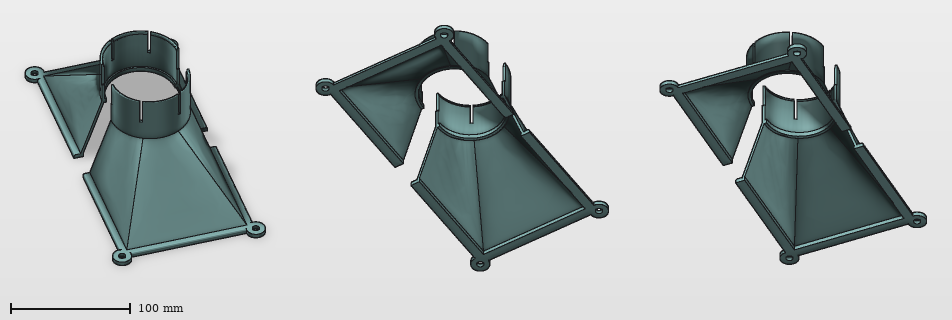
import cadquery as cq
import math


TOTAL_LENGTH = 259.0
TOTAL_WIDTH = 133.0
TOTAL_HEIGHT = 97.0
GAP = 24.9
HALF_GAP = GAP / 2

FLANGE_HEIGHT = 4.0
FLANGE_FILLET = 2.0
FLANGE_LEDGE = 6.0
LUG_RADIUS = 8.0
LUG_HOLE_DIAMETER = 6.0
FLANGE_HALF_LENGTH = TOTAL_LENGTH / 2 - HALF_GAP - LUG_RADIUS
FLANGE_HALF_WIDTH = TOTAL_WIDTH / 2 - LUG_RADIUS

FOOT_HALF_LENGTH = FLANGE_HALF_LENGTH - FLANGE_LEDGE
FOOT_HALF_WIDTH = FLANGE_HALF_WIDTH - FLANGE_LEDGE
WALL = 2.45

COLLAR_HEIGHT = 40.0
COLLAR_DIAMETER = 68.0
COLLAR_RADIUS = COLLAR_DIAMETER / 2
COLLAR_BASE = TOTAL_HEIGHT - COLLAR_HEIGHT
BORE_RADIUS = COLLAR_RADIUS - WALL

STOP_RADIUS = 30.0
STOP_HEIGHT = 4.1
STOP_BASE = COLLAR_BASE - STOP_HEIGHT / 2

REBATE_RADIUS = 32.0
REBATE_DEPTH = 2.5
RIM_RADIUS = (COLLAR_RADIUS - REBATE_RADIUS) / 2
SHOULDER_FILLET = 0.4

SLOT_WIDTH = 2.3
SLOT_DEPTH = 22.0
SLOT_COUNT = 6
SLOT_START_ANGLE = 30


def rectangle_to_round(half_length, half_width, radius, base, top):
    """Solid between a rectangle and a circle, with seams running out to the corners."""
    corner = math.atan2(half_width, half_length)
    x, y = radius * math.cos(corner), radius * math.sin(corner)
    return (
        cq.Workplane("XY")
        .workplane(offset=base)
        .moveTo(half_length, -half_width)
        .lineTo(half_length, half_width)
        .lineTo(-half_length, half_width)
        .lineTo(-half_length, -half_width)
        .close()
        .workplane(offset=top - base)
        .moveTo(x, -y)
        .threePointArc((radius, 0), (x, y))
        .threePointArc((0, radius), (-x, y))
        .threePointArc((-radius, 0), (-x, -y))
        .threePointArc((0, -radius), (x, -y))
        .close()
        .loft(ruled=True)
    )


def tube(outer_radius, inner_radius, base, height):
    """Upright ring of rectangular section."""
    return (
        cq.Workplane("XY")
        .workplane(offset=base)
        .circle(outer_radius)
        .circle(inner_radius)
        .extrude(height)
    )


def make_flange():
    """Flange plate with rounded upper edges and a drilled lug at each corner."""
    plate = (
        cq.Workplane("XY")
        .rect(2 * FLANGE_HALF_LENGTH, 2 * FLANGE_HALF_WIDTH)
        .extrude(FLANGE_HEIGHT)
        .faces(">Z")
        .edges()
        .fillet(FLANGE_FILLET)
    )
    corners = (
        cq.Workplane("XY")
        .rect(2 * FLANGE_HALF_LENGTH, 2 * FLANGE_HALF_WIDTH, forConstruction=True)
        .vertices()
    )
    lugs = corners.circle(LUG_RADIUS).extrude(FLANGE_HEIGHT)
    holes = corners.circle(LUG_HOLE_DIAMETER / 2).extrude(FLANGE_HEIGHT)
    return plate.union(lugs).cut(holes)


def make_funnel_cavity():
    """Straight opening through the flange, then a taper up to the collar bore."""
    inner_half_length = FOOT_HALF_LENGTH - WALL
    inner_half_width = FOOT_HALF_WIDTH - WALL
    opening = cq.Workplane("XY").rect(2 * inner_half_length, 2 * inner_half_width).extrude(FLANGE_HEIGHT)
    taper = rectangle_to_round(
        inner_half_length, inner_half_width, BORE_RADIUS, FLANGE_HEIGHT, COLLAR_BASE
    )
    return opening.union(taper)


def make_collar():
    """Tube with a rebated mouth, a rounded rim and flex slots."""
    shoulder = TOTAL_HEIGHT - REBATE_DEPTH
    rim_start = TOTAL_HEIGHT - RIM_RADIUS
    sleeve = tube(COLLAR_RADIUS, BORE_RADIUS, COLLAR_BASE, COLLAR_HEIGHT - REBATE_DEPTH)
    sleeve = sleeve.faces(">Z").edges(cq.selectors.RadiusNthSelector(0)).fillet(SHOULDER_FILLET)
    mouth = (
        cq.Workplane("XZ")
        .moveTo(REBATE_RADIUS, shoulder)
        .lineTo(COLLAR_RADIUS, shoulder)
        .lineTo(COLLAR_RADIUS, rim_start)
        .threePointArc((COLLAR_RADIUS - RIM_RADIUS, TOTAL_HEIGHT), (REBATE_RADIUS, rim_start))
        .close()
        .revolve(360, (0, 0, 0), (0, 1, 0))
    )
    collar = sleeve.union(mouth)
    for index in range(SLOT_COUNT):
        slot = (
            cq.Workplane("XY")
            .box(COLLAR_RADIUS + WALL, SLOT_WIDTH, SLOT_DEPTH, centered=(False, True, False))
            .translate((0, 0, TOTAL_HEIGHT - SLOT_DEPTH))
            .rotate((0, 0, 0), (0, 0, 1), SLOT_START_ANGLE + index * 360 / SLOT_COUNT)
        )
        collar = collar.cut(slot)
    return collar


def make_stop_ring():
    """Inner ledge at the collar base, its outer edge buried in the collar wall."""
    return tube(BORE_RADIUS + WALL / 2, STOP_RADIUS, STOP_BASE, STOP_HEIGHT)


def make_whole_hood():
    """The complete hood before it is split."""
    funnel = rectangle_to_round(
        FOOT_HALF_LENGTH, FOOT_HALF_WIDTH, COLLAR_RADIUS, FLANGE_HEIGHT, COLLAR_BASE
    )
    shell = make_flange().union(funnel).cut(make_funnel_cavity())
    return shell.union(make_collar()).union(make_stop_ring())


def make_hood_half(hood, side):
    """The half of the hood on one side of the middle plane, moved out by the gap."""
    keep = (
        cq.Workplane("XY")
        .box(TOTAL_LENGTH, TOTAL_WIDTH, TOTAL_HEIGHT, centered=(True, True, False))
        .translate((side * TOTAL_LENGTH / 2, 0, 0))
    )
    return hood.intersect(keep).translate((side * HALF_GAP, 0, 0))


whole_hood = make_whole_hood()
hood_halves = [make_hood_half(whole_hood, side) for side in (-1, 1)]

result = cq.Compound.makeCompound([half.solids().val() for half in hood_halves])